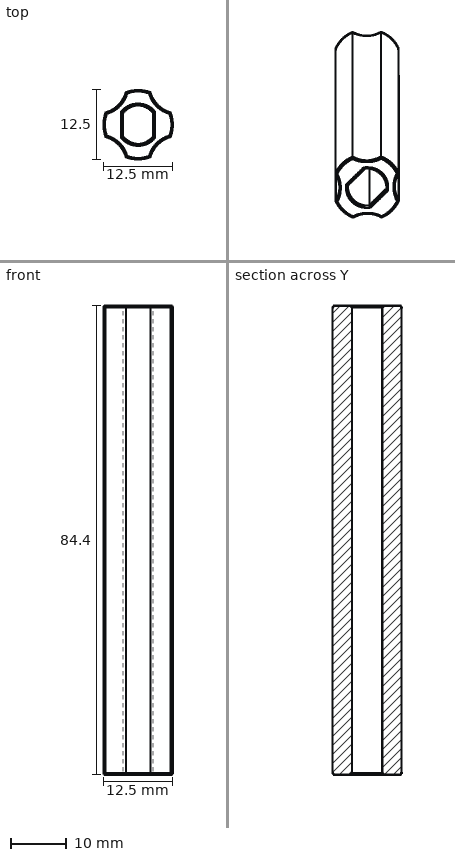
import cadquery as cq
import math

length = 84.4
outer_radius = 6.25

lobe_count = 4
lobe_half_width = 2.2
lobe_shoulder = 5.8
flute_bottom_radius = 5.0

bore_radius = 3.5
bore_flat_width = 5.4

outline_chamfer_height = 0.3
outline_chamfer_inset = 0.25
bore_chamfer = 0.3


def polar(radius, angle):
    """Point at the given radius and angle (radians) from the axis."""
    return (radius * math.cos(angle), radius * math.sin(angle))


def lobed_bar():
    """Fluted bar with the outline chamfered at both ends."""
    corner_radius = math.hypot(lobe_shoulder, lobe_half_width)
    corner_angle = math.atan2(lobe_half_width, lobe_shoulder)
    pitch = 2 * math.pi / lobe_count
    outline = cq.Workplane("XY").moveTo(*polar(corner_radius, -corner_angle))
    for lobe in range(lobe_count):
        lobe_axis = lobe * pitch
        outline = outline.threePointArc(
            polar(outer_radius, lobe_axis),
            polar(corner_radius, lobe_axis + corner_angle),
        )
        outline = outline.threePointArc(
            polar(flute_bottom_radius, lobe_axis + pitch / 2),
            polar(corner_radius, lobe_axis + pitch - corner_angle),
        )
    bar = outline.close().extrude(length)
    return bar.faces("<Z or >Z").chamfer(outline_chamfer_height, outline_chamfer_inset)


def double_flat_bore():
    """Cutter for the straight through bore."""
    flats = cq.Workplane("XY").box(
        bore_flat_width, 2 * bore_radius, length, centered=(True, True, False)
    )
    return cq.Workplane("XY").circle(bore_radius).extrude(length).intersect(flats)


bored_bar = lobed_bar().cut(double_flat_bore())

bore_rims = cq.selectors.BoxSelector(
    (-bore_radius, -bore_radius, -length), (bore_radius, bore_radius, 2 * length)
)
result = bored_bar.faces("<Z or >Z").edges(bore_rims).chamfer(bore_chamfer)